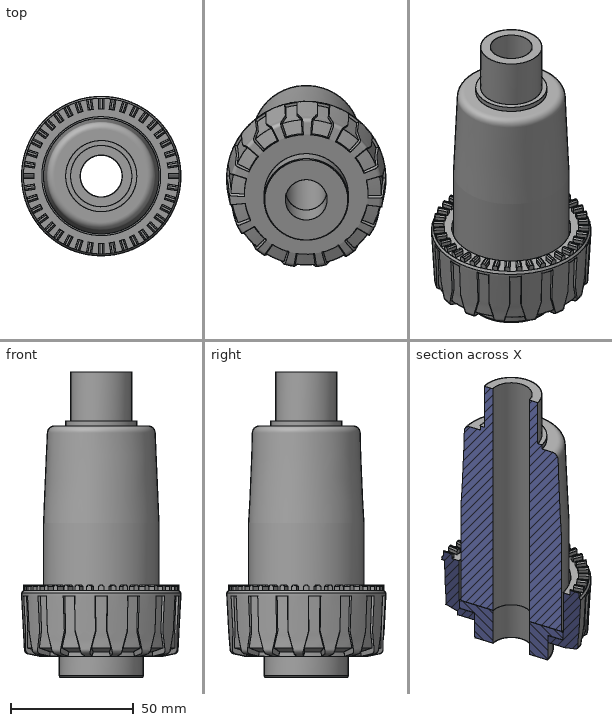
import cadquery as cq

total_height = 124.5
bore_diameter = 17.0

neck_diameter = 25.0
collar_diameter = 29.0
collar_height = 2.0
shoulder_z = 102.5
shoulder_diameter = 43.8
shoulder_fillet = 3.0
barrel_diameter = 47.15
barrel_top_z = 62.8

tail_diameter = 34.4
tail_end_diameter = 33.8
tail_bevel_height = 0.7
flange_height = 4.0

nut_diameter = 65.0
nut_bore_diameter = 48.5
nut_bottom_z = 8.6
nut_top_z = 35.4
nut_lip_thickness = 3.4
nut_lip_top_z = nut_bottom_z + nut_lip_thickness
flange_top_z = nut_lip_top_z + flange_height
band_bottom_z = 33.2
band_top_z = 34.4
top_face_radius = 31.7

end_ring_radius = 25.2
end_ring_top_z = 10.4
recess_bottom_z = 12.0
recess_bottom_radius = 30.6
recess_top_radius = 31.35

rib_count = 15
rib_pitch = 360.0 / rib_count
rib_half_width = 4.25
rib_taper_top_z = 18.8
rib_end_half_width = 1.5
rib_heel_radius = 29.6
rib_heel_z = 9.5
rib_foot_radius = 31.35
rib_foot_z = 11.6
rib_corner_bulge = 0.4

tooth_count = 40
tooth_height = 2.2
tooth_width = 2.1
tooth_chamfer = 0.6
tooth_inner_radius = 27.4


def make_housing():
    """Neck, collar, tapered shell and barrel, bored right through."""
    body = (
        cq.Workplane("XZ")
        .moveTo(0, flange_top_z)
        .lineTo(barrel_diameter / 2, flange_top_z)
        .lineTo(barrel_diameter / 2, barrel_top_z)
        .lineTo(shoulder_diameter / 2, shoulder_z)
        .lineTo(0, shoulder_z)
        .close()
        .revolve(360, (0, 0), (0, 1))
        .faces(">Z")
        .edges()
        .fillet(shoulder_fillet)
    )
    body = body.faces(">Z").workplane().circle(collar_diameter / 2).extrude(collar_height)
    neck_height = total_height - shoulder_z - collar_height
    body = body.faces(">Z").workplane().circle(neck_diameter / 2).extrude(neck_height)
    return body.faces(">Z").workplane().hole(bore_diameter)


def make_tailpiece():
    """Pipe end with a flange that sits on the nut's lower lip."""
    return (
        cq.Workplane("XZ")
        .moveTo(bore_diameter / 2, 0)
        .lineTo(tail_end_diameter / 2, 0)
        .lineTo(tail_diameter / 2, tail_bevel_height)
        .lineTo(tail_diameter / 2, nut_lip_top_z)
        .lineTo(nut_bore_diameter / 2, nut_lip_top_z)
        .lineTo(nut_bore_diameter / 2, flange_top_z)
        .lineTo(bore_diameter / 2, flange_top_z)
        .close()
        .revolve(360, (0, 0), (0, 1))
    )


def make_nut_core():
    """Turned shape of the nut without ribs, teeth or bore."""
    nut_radius = nut_diameter / 2
    return (
        cq.Workplane("XZ")
        .moveTo(0, nut_bottom_z)
        .lineTo(end_ring_radius, nut_bottom_z)
        .lineTo(end_ring_radius, end_ring_top_z)
        .lineTo(recess_bottom_radius, recess_bottom_z)
        .lineTo(recess_top_radius, band_bottom_z)
        .lineTo(nut_radius, band_bottom_z)
        .lineTo(nut_radius, band_top_z)
        .lineTo(top_face_radius, nut_top_z)
        .lineTo(0, nut_top_z)
        .close()
        .revolve(360, (0, 0), (0, 1))
    )


def make_rib_envelope():
    """Turned shape that limits the ribs: drafted sides and a rounded lower corner."""
    corner_mid_radius = (rib_heel_radius + rib_foot_radius) / 2 + rib_corner_bulge
    corner_mid_z = (rib_heel_z + rib_foot_z) / 2 - rib_corner_bulge
    return (
        cq.Workplane("XZ")
        .moveTo(0, nut_bottom_z)
        .lineTo(end_ring_radius, nut_bottom_z)
        .lineTo(rib_heel_radius, rib_heel_z)
        .threePointArc((corner_mid_radius, corner_mid_z), (rib_foot_radius, rib_foot_z))
        .lineTo(nut_diameter / 2, band_bottom_z)
        .lineTo(0, band_bottom_z)
        .close()
        .revolve(360, (0, 0), (0, 1))
    )


def make_ribs():
    """Parallel-sided grip ribs that narrow towards the lower end."""
    blank = (
        cq.Workplane("XZ")
        .moveTo(-rib_end_half_width, nut_bottom_z)
        .lineTo(rib_end_half_width, nut_bottom_z)
        .lineTo(rib_half_width, rib_taper_top_z)
        .lineTo(rib_half_width, band_bottom_z)
        .lineTo(-rib_half_width, band_bottom_z)
        .lineTo(-rib_half_width, rib_taper_top_z)
        .close()
        .extrude(nut_diameter)
    )
    rib = blank.intersect(make_rib_envelope())
    return [
        rib.rotate((0, 0, 0), (0, 0, 1), (index + 0.5) * rib_pitch)
        for index in range(rib_count)
    ]


def make_teeth():
    """Radial teeth with chamfered crests around the top face."""
    length = top_face_radius - tooth_inner_radius
    tooth = (
        cq.Workplane("XY")
        .box(length, tooth_width, tooth_height, centered=(False, True, False))
        .edges("|X and >Z")
        .chamfer(tooth_chamfer)
        .translate((tooth_inner_radius, 0, nut_top_z))
    )
    rim = cq.Workplane("XY").workplane(offset=nut_top_z).circle(top_face_radius).extrude(tooth_height)
    tooth = tooth.intersect(rim)
    return [
        tooth.rotate((0, 0, 0), (0, 0, 1), index * 360.0 / tooth_count)
        for index in range(tooth_count)
    ]


def make_nut():
    """Union nut with grip ribs, locking teeth, bore and lower lip."""
    nut = make_nut_core()
    for rib in make_ribs():
        nut = nut.union(rib)
    for tooth in make_teeth():
        nut = nut.union(tooth)
    bore = (
        cq.Workplane("XY")
        .workplane(offset=nut_lip_top_z)
        .circle(nut_bore_diameter / 2)
        .extrude(nut_top_z - nut_lip_top_z)
    )
    lip_hole = (
        cq.Workplane("XY")
        .workplane(offset=nut_bottom_z)
        .circle(tail_diameter / 2)
        .extrude(nut_lip_thickness)
    )
    return nut.cut(bore).cut(lip_hole)


housing = make_housing()
tailpiece = make_tailpiece()
nut = make_nut()

result = cq.Compound.makeCompound([housing.val(), tailpiece.val(), *nut.vals()])